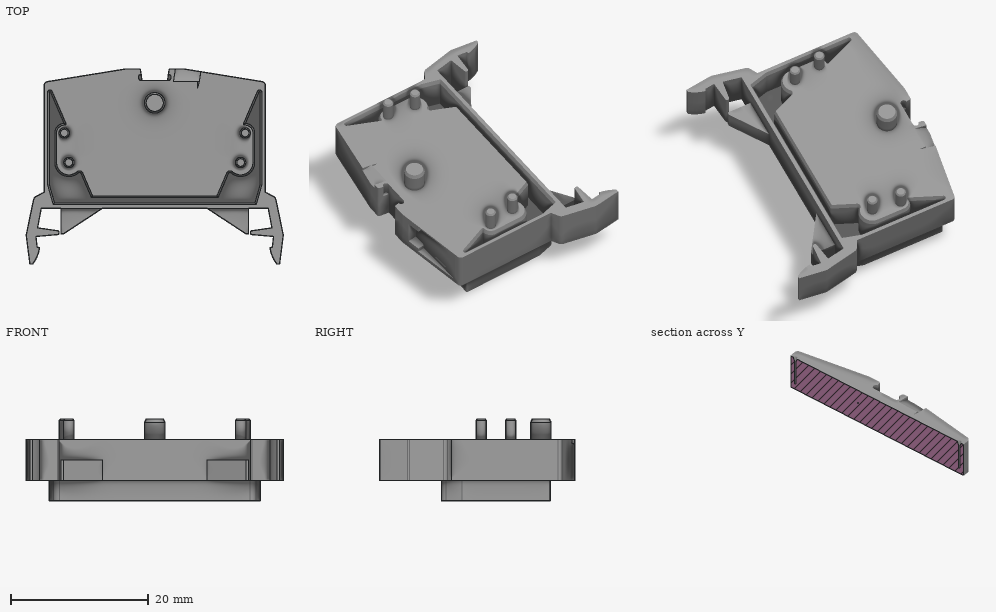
import cadquery as cq
import math

BODY_HEIGHT = 6.0
BODY_HALF_WIDTH = 16.14
BODY_BACK = 20.37
RIDGE_HALF_WIDTH = 4.15
SHOULDER_Y = 18.43
ROOF_CORNER_RADIUS = 0.6
ROOF_SLOPE = (BODY_BACK - SHOULDER_Y) / (BODY_HALF_WIDTH - RIDGE_HALF_WIDTH)

NOTCH_FLOOR_Y = 18.66
NOTCH_FLOOR_HALF = 1.85
NOTCH_MOUTH_HALF = 2.09
NOTCH_LIP_RADIUS = 0.3
RELIEF_RADIUS = 0.45
RELIEF_X = 1.95
RELIEF_DEPTH = 2.0

LEG_OUTER_X = 18.74
LEG_WIDEST_Y = (-3.78, -4.05)
LEG_SHOULDER_TOP = 2.38
LEG_SHOULDER_ARC = ((-17.25, 1.8), (-17.55, 1.55), (-17.7, 1.2))
LEG_TIP_Y = -8.13
LEG_TIP_X = (-18.22, -17.8)
LEG_HOOK_ARC = ((-17.1, -6.9), (-16.78, -5.75))
LEG_HOOK_ROOT = (-17.13, -5.61)
FINGER_LOWER_ROOT = (-17.31, -4.1)
FINGER_END_ARC = ((-14.2, -3.83), (-13.94, -3.52), (-14.2, -3.23))
FINGER_UPPER_ROOT = (-17.07, -2.82)
LEG_INNER_ROOT = (-16.54, 0)

WEDGE_HEIGHT = 3.0
WEDGE_OUTER_X = 13.7
WEDGE_TIP_WIDTH = 0.42
WEDGE_INNER_X = 7.65
WEDGE_REACH = 3.7
WEDGE_ROOT_OVERLAP = 0.25

CHANNEL_DEPTH = 4.9
FLARE_WIDTH = 0.25
FLARE_DEPTH = 0.6
CHANNEL_OUTER_X = 15.63
CHANNEL_FRONT_Y = 0.56
CHANNEL_CORNER_X = 14.8
CHANNEL_BEND_Y = 3.47
CHANNEL_TIP_RADIUS = 0.35
CHANNEL_TIP_Y = 16.92
ISLAND_FRONT_X = 9.06
ISLAND_FRONT_Y = 1.82
FLANK_ANGLE = math.radians(23.3)
UPPER_NOOK_RADIUS = 0.2
LOWER_NOOK_RADIUS = 0.5

PIN_HEIGHT = 3.0
CENTRE_PIN = (0, 15.4)
CENTRE_PIN_RADIUS = 1.5
CENTRE_PIN_BEVEL = (0.25, 0.5)
UPPER_PIN = (-13.18, 11.0)
LOWER_PIN = (-12.52, 6.7)
SMALL_PIN_RADIUS = 0.76
SMALL_PIN_BEVEL = (0.2, 0.25)
UPPER_PIN_PAD = 1.15
LOWER_PIN_PAD = 1.8

PLUG_HEIGHT = 3.0
PLUG_HALF_WIDTH = 15.42
PLUG_FRONT_Y = 0.88
PLUG_BACK_Y = 16.78
PLUG_BEND_Y = 3.9
PLUG_CORNER_X = 14.56
PLUG_CORNER_RADIUS = 0.9
PLUG_BACK_RADIUS = 0.12
PLUG_BEVEL = 0.1

MARKER_FLOOR_OUTER = (-15.3, 18.6)
MARKER_FLOOR_RISE = 0.2
MARKER_WIDE = (0.65, 5.73, 19.84)
MARKER_NARROW = (1.27, 4.9, 20.17)
MARKER_WALL_ANGLE = math.radians(5)

RAMP_FRONT_Y = 18.52
RAMP_LEFT_X = 2.73
RAMP_RIGHT_X = 6.5
RAMP_SKEW = 0.28
RAMP_DROP = 0.7
SCORE_WIDTH = 0.27
SCORE_END = (6.25, 17.6)
SCORE_DEPTH = 0.2

OVERLAP = 1.0


def both_sides(half):
    return half.union(half.mirror("YZ"))


def round_corner(solid, edge_middle, radius):
    return solid.edges(cq.selectors.NearestToPointSelector(edge_middle)).fillet(radius)


def shift(point, direction, distance):
    return (point[0] + distance * direction[0], point[1] + distance * direction[1])


def unit(start, end):
    length = math.dist(start, end)
    return ((end[0] - start[0]) / length, (end[1] - start[1]) / length)


def block_half():
    half = (
        cq.Workplane("XY")
        .moveTo(OVERLAP, 0)
        .lineTo(OVERLAP, NOTCH_FLOOR_Y)
        .lineTo(-NOTCH_FLOOR_HALF, NOTCH_FLOOR_Y)
        .lineTo(-NOTCH_MOUTH_HALF, BODY_BACK)
        .lineTo(-RIDGE_HALF_WIDTH, BODY_BACK)
        .lineTo(-BODY_HALF_WIDTH, SHOULDER_Y)
        .lineTo(-BODY_HALF_WIDTH, 0)
        .close()
        .extrude(BODY_HEIGHT)
    )
    half = round_corner(half, (-NOTCH_MOUTH_HALF, BODY_BACK, BODY_HEIGHT / 2), NOTCH_LIP_RADIUS)
    return round_corner(half, (-BODY_HALF_WIDTH, SHOULDER_Y, BODY_HEIGHT / 2), ROOF_CORNER_RADIUS)


def latch_leg():
    shoulder_start, shoulder_middle, shoulder_end = LEG_SHOULDER_ARC
    finger_lower, finger_end, finger_upper = FINGER_END_ARC
    widest_top, widest_bottom = LEG_WIDEST_Y
    tip_outer, tip_inner = LEG_TIP_X
    return (
        cq.Workplane("XY")
        .moveTo(-BODY_HALF_WIDTH + OVERLAP, 0)
        .lineTo(-BODY_HALF_WIDTH + OVERLAP, LEG_SHOULDER_TOP)
        .lineTo(-BODY_HALF_WIDTH, LEG_SHOULDER_TOP)
        .lineTo(*shoulder_start)
        .threePointArc(shoulder_middle, shoulder_end)
        .lineTo(-LEG_OUTER_X, widest_top)
        .lineTo(-LEG_OUTER_X, widest_bottom)
        .lineTo(tip_outer, LEG_TIP_Y)
        .lineTo(tip_inner, LEG_TIP_Y)
        .threePointArc(*LEG_HOOK_ARC)
        .lineTo(*LEG_HOOK_ROOT)
        .lineTo(*FINGER_LOWER_ROOT)
        .lineTo(*finger_lower)
        .threePointArc(finger_end, finger_upper)
        .lineTo(*FINGER_UPPER_ROOT)
        .lineTo(*LEG_INNER_ROOT)
        .close()
        .extrude(BODY_HEIGHT)
    )


def wedge():
    return (
        cq.Workplane("XY")
        .moveTo(-WEDGE_OUTER_X, WEDGE_ROOT_OVERLAP)
        .lineTo(-WEDGE_OUTER_X, -WEDGE_REACH)
        .lineTo(-WEDGE_OUTER_X + WEDGE_TIP_WIDTH, -WEDGE_REACH)
        .lineTo(-WEDGE_INNER_X, 0)
        .lineTo(-WEDGE_INNER_X, WEDGE_ROOT_OVERLAP)
        .close()
        .extrude(WEDGE_HEIGHT)
    )


def nook_centre(line_point, direction, pad_centre, pad_radius, nook_radius):
    """Centre on the given line of the nook circle that touches the pad circle from outside."""
    dx = line_point[0] - pad_centre[0]
    dy = line_point[1] - pad_centre[1]
    along = dx * direction[0] + dy * direction[1]
    reach = pad_radius + nook_radius
    travel = -along - math.sqrt(along**2 - dx**2 - dy**2 + reach**2)
    return shift(line_point, direction, travel)


def channel_rim():
    """Left half of the channel outline at the top face, running past the middle plane."""
    flank_normal = (math.cos(FLANK_ANGLE), math.sin(FLANK_ANGLE))
    flank_down = (math.sin(FLANK_ANGLE), -math.cos(FLANK_ANGLE))
    flank_up = (-flank_down[0], -flank_down[1])

    tip = (-CHANNEL_OUTER_X + CHANNEL_TIP_RADIUS, CHANNEL_TIP_Y)
    tip_tangent = shift(tip, flank_normal, CHANNEL_TIP_RADIUS)
    upper_line = shift(tip, flank_normal, CHANNEL_TIP_RADIUS - UPPER_NOOK_RADIUS)
    upper_nook = nook_centre(upper_line, flank_down, UPPER_PIN, UPPER_PIN_PAD, UPPER_NOOK_RADIUS)
    upper_touch = shift(UPPER_PIN, unit(UPPER_PIN, upper_nook), UPPER_PIN_PAD)
    upper_middle = shift(upper_nook, (1, 0), UPPER_NOOK_RADIUS)

    front_corner = (-ISLAND_FRONT_X, ISLAND_FRONT_Y)
    lower_line = shift(front_corner, flank_normal, -LOWER_NOOK_RADIUS)
    lower_nook = nook_centre(lower_line, flank_up, LOWER_PIN, LOWER_PIN_PAD, LOWER_NOOK_RADIUS)
    lower_touch = shift(LOWER_PIN, unit(LOWER_PIN, lower_nook), LOWER_PIN_PAD)
    lower_middle = shift(lower_nook, (0, 1), LOWER_NOOK_RADIUS)

    diagonal = (-math.sqrt(0.5), math.sqrt(0.5))
    return (
        cq.Workplane("XY", origin=(0, 0, BODY_HEIGHT))
        .moveTo(OVERLAP, CHANNEL_FRONT_Y)
        .lineTo(-CHANNEL_CORNER_X, CHANNEL_FRONT_Y)
        .lineTo(-CHANNEL_OUTER_X, CHANNEL_BEND_Y)
        .lineTo(-CHANNEL_OUTER_X, CHANNEL_TIP_Y)
        .threePointArc(shift(tip, (0, 1), CHANNEL_TIP_RADIUS), tip_tangent)
        .lineTo(*shift(upper_nook, flank_normal, UPPER_NOOK_RADIUS))
        .threePointArc(upper_middle, upper_touch)
        .threePointArc(
            shift(UPPER_PIN, diagonal, UPPER_PIN_PAD), shift(UPPER_PIN, (-1, 0), UPPER_PIN_PAD)
        )
        .lineTo(*shift(LOWER_PIN, (-1, 0), LOWER_PIN_PAD))
        .threePointArc(shift(LOWER_PIN, (0, -1), LOWER_PIN_PAD), lower_touch)
        .threePointArc(lower_middle, shift(lower_nook, flank_normal, LOWER_NOOK_RADIUS))
        .lineTo(*front_corner)
        .lineTo(OVERLAP, ISLAND_FRONT_Y)
        .close()
    )


def channel():
    flare_angle = math.degrees(math.atan2(FLARE_WIDTH, FLARE_DEPTH))
    flare = channel_rim().extrude(-FLARE_DEPTH, taper=flare_angle)
    well = channel_rim().offset2D(-FLARE_WIDTH).extrude(-CHANNEL_DEPTH)
    return both_sides(flare.union(well))


def pin(place, radius, bevel):
    bevel_width, bevel_height = bevel
    return (
        cq.Workplane("XY", origin=(*place, 0))
        .circle(radius)
        .extrude(BODY_HEIGHT + PIN_HEIGHT)
        .faces(">Z")
        .chamfer(bevel_height, bevel_width)
    )


def plug():
    half = (
        cq.Workplane("XY")
        .moveTo(OVERLAP, PLUG_BACK_Y)
        .lineTo(-PLUG_HALF_WIDTH, PLUG_BACK_Y)
        .lineTo(-PLUG_HALF_WIDTH, PLUG_BEND_Y)
        .lineTo(-PLUG_CORNER_X, PLUG_FRONT_Y)
        .lineTo(OVERLAP, PLUG_FRONT_Y)
        .close()
        .extrude(-PLUG_HEIGHT)
    )
    middle_z = -PLUG_HEIGHT / 2
    half = round_corner(half, (-PLUG_HALF_WIDTH, PLUG_BACK_Y, middle_z), PLUG_BACK_RADIUS)
    half = round_corner(half, (-PLUG_CORNER_X, PLUG_FRONT_Y, middle_z), PLUG_CORNER_RADIUS)
    return both_sides(half).clean().faces("<Z").chamfer(PLUG_BEVEL)


def marker_pocket(bottom, top, rim_y):
    rim_x = -RIDGE_HALF_WIDTH - (BODY_BACK - rim_y) / ROOF_SLOPE
    floor_x, floor_y = MARKER_FLOOR_OUTER
    wall_foot_y = floor_y + MARKER_FLOOR_RISE
    wall_foot_x = rim_x + (rim_y - wall_foot_y) * math.tan(MARKER_WALL_ANGLE)
    return (
        cq.Workplane("XY", origin=(0, 0, bottom))
        .moveTo(floor_x, floor_y)
        .lineTo(wall_foot_x, wall_foot_y)
        .lineTo(rim_x, rim_y)
        .lineTo(floor_x, rim_y)
        .close()
        .extrude(top - bottom)
    )


def ramp():
    run = BODY_BACK - RAMP_FRONT_Y
    wedge_cut = (
        cq.Workplane("YZ")
        .moveTo(RAMP_FRONT_Y, BODY_HEIGHT)
        .lineTo(BODY_BACK, BODY_HEIGHT - RAMP_DROP)
        .lineTo(BODY_BACK, BODY_HEIGHT)
        .close()
        .extrude(RAMP_RIGHT_X + RAMP_SKEW)
    )
    footprint = (
        cq.Workplane("XY")
        .moveTo(RAMP_LEFT_X, RAMP_FRONT_Y)
        .line(RAMP_SKEW, run)
        .lineTo(RAMP_RIGHT_X + RAMP_SKEW, BODY_BACK)
        .line(-RAMP_SKEW, -run)
        .close()
        .extrude(BODY_HEIGHT)
    )
    score = (
        cq.Workplane("XY", origin=(0, 0, BODY_HEIGHT))
        .moveTo(RAMP_RIGHT_X, RAMP_FRONT_Y)
        .lineTo(RAMP_RIGHT_X - SCORE_WIDTH, RAMP_FRONT_Y)
        .lineTo(*SCORE_END)
        .close()
        .extrude(-SCORE_DEPTH)
    )
    return wedge_cut.intersect(footprint).union(score)


def flank_relief():
    return (
        cq.Workplane("XY", origin=(0, 0, BODY_HEIGHT))
        .center(-RELIEF_X, NOTCH_FLOOR_Y + RELIEF_RADIUS)
        .circle(RELIEF_RADIUS)
        .extrude(-RELIEF_DEPTH)
    )


housing = both_sides(block_half().union(latch_leg()).union(wedge())).union(plug())
housing = housing.cut(channel())
housing = housing.cut(both_sides(flank_relief()))
housing = housing.cut(ramp())
for pocket_size in (MARKER_WIDE, MARKER_NARROW):
    housing = housing.cut(marker_pocket(*pocket_size))

small_pins = pin(UPPER_PIN, SMALL_PIN_RADIUS, SMALL_PIN_BEVEL).union(
    pin(LOWER_PIN, SMALL_PIN_RADIUS, SMALL_PIN_BEVEL)
)
housing = housing.union(both_sides(small_pins))
result = housing.union(pin(CENTRE_PIN, CENTRE_PIN_RADIUS, CENTRE_PIN_BEVEL))